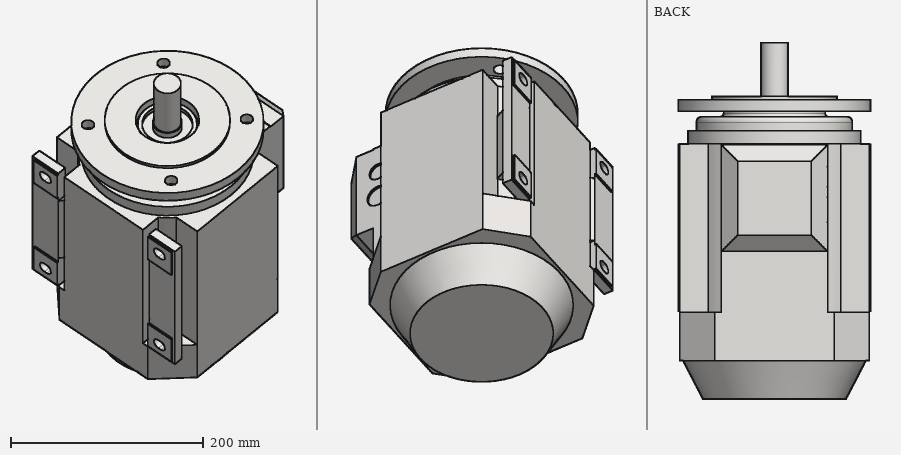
import cadquery as cq


COWL_TOP = 40.0
BODY_STEP = 90.5
BODY_TOP = 265.3
RING_TOP = 279.0
SHIELD_TOP = 293.5
FLANGE_BOTTOM = 299.0
FLANGE_TOP = 311.2
SPIGOT_TOP = 314.5
SHAFT_TOP = 370.5

BODY_HALF = 98.5
CORNER_CUT = 36.3
WING_HALF = BODY_HALF - CORNER_CUT
ARM_HALF = 55.2
STATOR_RADIUS = 93.0
COWL_TOP_RADIUS = 95.2
COWL_BOTTOM_RADIUS = 74.5

RING_RADIUS = 90.0
SHIELD_RADIUS = 81.0
SHIELD_FILLET = 5.5
NECK_RADIUS = 53.0
NECK_FILLET = 3.5
FLANGE_RADIUS = 100.0
SPIGOT_RADIUS = 65.2
BOLT_CIRCLE_RADIUS = 82.5
BOLT_HOLE_DIAMETER = 13.0

SHAFT_RADIUS = 14.0
COLLAR_RADIUS = 15.2
COLLAR_TOP = 310.5
RECESS_RADIUS = 33.0
RECESS_FLOOR = 303.0
SEAL_OUTER_RADIUS = 30.8
SEAL_INNER_RADIUS = 26.3
SEAL_TOP = 308.0

BOX_TOP = 264.0
BOX_HEIGHT = 110.8
BOX_Y = 136.0
LID_CHAMFER = 17.0
ENTRY_Y = 92.5
ENTRY_DEPTH = 2.2
ENTRIES = ((231.0, 10.5), (196.7, 13.0))

FOOT_INNER = 63.7
FOOT_OUTER = 100.0
FOOT_THICKNESS = 10.7
FOOT_LENGTH = 173.5
FOOT_MID_Z = (BODY_STEP + BODY_TOP) / 2
FOOT_BOTTOM = -BODY_HALF
FOOT_TOP = FOOT_BOTTOM + FOOT_THICKNESS
PAD_WIDTH = 32.5
PAD_LENGTH = 35.0
PAD_THICKNESS = 2.0
PAD_END_MARGIN = 2.2
SLOT_X = 80.0
SLOT_SPACING = 140.0
SLOT_LENGTH = 15.5
SLOT_WIDTH = 12.2
WEB_LENGTH = 88.0
WEB_ROOT_OUTER = 70.0
WEB_FOOT_OUTER = 81.5
WEB_ROOT_Y = -87.0


def cylinder(radius, bottom, top):
    return cq.Workplane("XY").workplane(offset=bottom).circle(radius).extrude(top - bottom)


def block(x_range, y_range, z_range):
    size = [end - start for start, end in (x_range, y_range, z_range)]
    return cq.Workplane("XY").box(*size, centered=False).translate((x_range[0], y_range[0], z_range[0]))


def make_body():
    """Tapered cowl, octagonal lower body and cross-shaped upper body around the stator."""
    cowl = (
        cq.Workplane("XY")
        .circle(COWL_BOTTOM_RADIUS)
        .workplane(offset=COWL_TOP)
        .circle(COWL_TOP_RADIUS)
        .loft(ruled=True)
    )
    full = (-BODY_HALF, BODY_HALF)
    wing = (-WING_HALF, WING_HALF)
    arm = (-ARM_HALF, ARM_HALF)
    lower = block(full, full, (COWL_TOP, BODY_STEP)).edges("|Z").chamfer(CORNER_CUT)
    upper_z = (BODY_STEP, BODY_TOP)
    upper = block(full, wing, upper_z).union(block(arm, full, upper_z))
    upper = upper.union(cylinder(STATOR_RADIUS, *upper_z))
    return cowl.union(lower).union(upper)


def make_end_shield():
    """Ring, rounded shield and flared neck carrying the flange."""
    half_profile = (
        cq.Workplane("XZ")
        .moveTo(0, BODY_TOP)
        .lineTo(RING_RADIUS, BODY_TOP)
        .lineTo(RING_RADIUS, RING_TOP)
        .lineTo(SHIELD_RADIUS, RING_TOP)
        .lineTo(SHIELD_RADIUS, SHIELD_TOP - SHIELD_FILLET)
        .radiusArc((SHIELD_RADIUS - SHIELD_FILLET, SHIELD_TOP), -SHIELD_FILLET)
        .lineTo(NECK_RADIUS + NECK_FILLET, SHIELD_TOP)
        .radiusArc((NECK_RADIUS, SHIELD_TOP + NECK_FILLET), NECK_FILLET)
        .lineTo(NECK_RADIUS, FLANGE_BOTTOM)
        .lineTo(0, FLANGE_BOTTOM)
        .close()
    )
    return half_profile.revolve(360, (0, 0, 0), (0, 1, 0))


def make_flange():
    """Flange with spigot, four bolt holes, and a centre recess holding the seal ring and shaft."""
    flange = cylinder(FLANGE_RADIUS, FLANGE_BOTTOM, FLANGE_TOP)
    bolt_holes = (
        cq.Workplane("XY")
        .workplane(offset=FLANGE_BOTTOM)
        .polarArray(BOLT_CIRCLE_RADIUS, 45, 360, 4)
        .circle(BOLT_HOLE_DIAMETER / 2)
        .extrude(FLANGE_TOP - FLANGE_BOTTOM)
    )
    seal_bore = cylinder(SEAL_INNER_RADIUS, RECESS_FLOOR, SEAL_TOP)
    seal = cylinder(SEAL_OUTER_RADIUS, RECESS_FLOOR, SEAL_TOP).cut(seal_bore)
    return (
        flange.cut(bolt_holes)
        .union(cylinder(SPIGOT_RADIUS, FLANGE_TOP, SPIGOT_TOP))
        .cut(cylinder(RECESS_RADIUS, RECESS_FLOOR, SPIGOT_TOP))
        .union(seal)
        .union(cylinder(COLLAR_RADIUS, RECESS_FLOOR, COLLAR_TOP))
        .union(cylinder(SHAFT_RADIUS, COLLAR_TOP, SHAFT_TOP))
    )


def make_terminal_box():
    box = block((-ARM_HALF, ARM_HALF), (0, BOX_Y), (BOX_TOP - BOX_HEIGHT, BOX_TOP))
    return box.faces(">Y").chamfer(LID_CHAMFER)


def make_cable_entries():
    """Shallow round recesses in the -X side of the terminal box."""
    entries = cq.Workplane("YZ")
    for height, radius in ENTRIES:
        entry = cq.Workplane("YZ", origin=(-ARM_HALF, ENTRY_Y, height)).circle(radius).extrude(ENTRY_DEPTH)
        entries = entries.add(entry)
    return entries.combine()


def make_foot():
    """Foot on the +X side: plate, sloping web, and a raised pad with a slot at each end."""
    half_length = FOOT_LENGTH / 2
    foot = block(
        (FOOT_INNER, FOOT_OUTER),
        (FOOT_BOTTOM, FOOT_TOP),
        (FOOT_MID_Z - half_length, FOOT_MID_Z + half_length),
    )
    web = (
        cq.Workplane("XY")
        .workplane(offset=FOOT_MID_Z - WEB_LENGTH / 2)
        .moveTo(ARM_HALF, WEB_ROOT_Y)
        .lineTo(FOOT_INNER, FOOT_BOTTOM)
        .lineTo(WEB_FOOT_OUTER, FOOT_TOP)
        .lineTo(WEB_ROOT_OUTER, -WING_HALF)
        .lineTo(ARM_HALF, -WING_HALF)
        .close()
        .extrude(WEB_LENGTH)
    )
    foot = foot.union(web)
    pad_offset = half_length - PAD_END_MARGIN - PAD_LENGTH / 2
    for side in (-1, 1):
        pad_z = FOOT_MID_Z + side * pad_offset
        pad = block(
            (FOOT_INNER, FOOT_INNER + PAD_WIDTH),
            (FOOT_BOTTOM - PAD_THICKNESS, FOOT_BOTTOM),
            (pad_z - PAD_LENGTH / 2, pad_z + PAD_LENGTH / 2),
        )
        slot = (
            cq.Workplane("XZ", origin=(SLOT_X, FOOT_TOP, FOOT_MID_Z + side * SLOT_SPACING / 2))
            .slot2D(SLOT_LENGTH, SLOT_WIDTH)
            .extrude(FOOT_THICKNESS + PAD_THICKNESS)
        )
        foot = foot.union(pad).cut(slot)
    return foot


foot = make_foot()
result = (
    make_body()
    .union(make_end_shield())
    .union(make_flange())
    .union(make_terminal_box())
    .cut(make_cable_entries())
    .union(foot)
    .union(foot.mirror("YZ"))
)